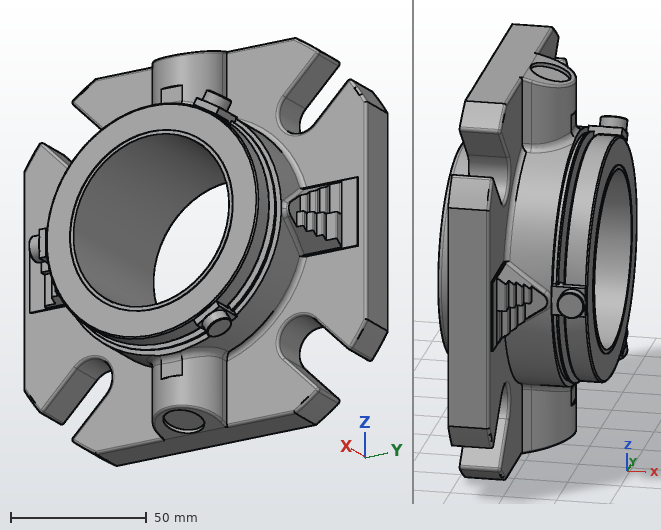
import cadquery as cq
import math


position_tolerance = 0.01

flange_size = 147.3
flange_thickness = 15.5
corner_radius = 85.2
back_edge_fillet = 1.0
slot_width = 18.0
slot_center_radius = 63.3
slot_mouth_fillet = 1.2
raised_face_diameter = 105.0
raised_face_height = 0.6

bore_diameter = 66.7
sleeve_diameter = 69.8
sleeve_band_diameter = 70.3
sleeve_band_length = 0.7
sleeve_end = 46.7
pilot_diameter = 81.5
pilot_front = -10.9
pilot_fillet = 1.5

body_radius = 48.0
body_end = 33.6
body_root_fillet = 1.9
boss_blend_fillet = 3.0
rib_blend_fillet = 1.5
body_stock_allowance = 4.4
neck_diameter = 91.6
neck_end = 35.0
lip_diameter = 93.1
lip_end = 35.8

boss_center = 18.9
boss_radius = 13.8
boss_slope = 15.0
boss_top_fillet = 0.9
boss_relief_position = 32.0
boss_relief_height = 56.9
port_center = 23.3
port_diameter = 15.3
port_recess = 1.5

rib_half_width = 13.4
rib_apex = 35.0
rib_tip_radius = 3.4
rib_step_fillet = 0.5
rib_pad_height = 70.3
rib_pad_end = 16.2
step_heights = [63.5, 59.0, 56.1, 53.3, 50.5]
tall_step_ends = [19.7, 22.0, 24.3, 26.7, rib_apex]
short_step_ends = [17.1, 19.7, 22.0, 24.3, rib_apex]

collar_start = 37.5
collar_end = 46.4
collar_radius = 45.5
collar_chamfer = 0.6
clip_count = 3
clip_width = 11.2
clip_outer = 48.3
clip_thickness = 2.8
clip_end = 46.3
clip_tongue_inner = 43.8
screw_head_diameter = 10.0
screw_head_top = 52.6
screw_head_chamfer = 0.3


def disc(start, end, diameter):
    """Solid cylinder on the X axis between two X positions."""
    return cq.Workplane("YZ", origin=(start, 0, 0)).circle(diameter / 2).extrude(end - start)


def make_flange():
    """Square plate with rounded-off corners and an open slot in each corner."""
    plate = cq.Workplane("YZ").rect(flange_size, flange_size).extrude(flange_thickness)
    plate = plate.intersect(disc(0, flange_thickness, 2 * corner_radius))
    slot_length = 2 * slot_center_radius
    slot = (
        cq.Workplane("YZ")
        .center(slot_center_radius - slot_width / 2 + slot_length / 2, 0)
        .slot2D(slot_length, slot_width)
        .extrude(flange_thickness)
    )
    for angle in (45, 135, 225, 315):
        plate = plate.cut(slot.rotate((0, 0, 0), (1, 0, 0), angle))
    mouths = []
    for edge in plate.edges("|X").vals():
        y, z = edge.Center().y, edge.Center().z
        on_corner_arc = math.isclose(math.hypot(y, z), corner_radius, abs_tol=position_tolerance)
        off_diagonal = abs(abs(y) - abs(z)) / math.sqrt(2)
        if on_corner_arc and math.isclose(off_diagonal, slot_width / 2, abs_tol=position_tolerance):
            mouths.append(edge)
    plate = plate.newObject(mouths).fillet(slot_mouth_fillet)
    return plate.faces(">X").edges().fillet(back_edge_fillet)


def boss_top_height(position):
    """Height of the sloping boss top at an X position."""
    return flange_size / 2 - math.tan(math.radians(boss_slope)) * (position - flange_thickness)


def boss_top_normal():
    """Direction square to the sloping boss top."""
    slope = math.radians(boss_slope)
    return cq.Vector(math.sin(slope), 0, math.cos(slope))


def make_boss():
    """Port boss on +Z: a rounded column with a sloping top."""
    column = (
        cq.Workplane("XY")
        .moveTo(0, -boss_radius)
        .lineTo(boss_center, -boss_radius)
        .threePointArc((boss_center + boss_radius, 0), (boss_center, boss_radius))
        .lineTo(0, boss_radius)
        .close()
        .extrude(flange_size / 2)
    )
    boss_end = boss_center + boss_radius
    side_profile = (
        cq.Workplane("XZ")
        .polyline([
            (flange_thickness / 2, 0),
            (flange_thickness / 2, flange_size / 2),
            (flange_thickness, flange_size / 2),
            (boss_end, boss_top_height(boss_end)),
            (boss_end, boss_relief_height),
            (boss_relief_position, boss_relief_height),
            (boss_relief_position, 0),
        ])
        .close()
        .extrude(boss_radius, both=True)
    )
    boss = column.intersect(side_profile)
    parallel = 0.999
    top = [face for face in boss.faces().vals() if face.normalAt().dot(boss_top_normal()) > parallel]
    rim = [edge for edge in top[0].Edges() if edge.Center().x > flange_thickness + boss_top_fillet]
    return boss.newObject(rim).fillet(boss_top_fillet)


def make_port():
    """Shallow round recess square to the sloping top of the +Z boss."""
    top_plane = cq.Plane(
        origin=(port_center, 0, boss_top_height(port_center)),
        xDir=(0, 1, 0),
        normal=boss_top_normal(),
    )
    return cq.Workplane(top_plane).circle(port_diameter / 2).extrude(-port_recess)


def stair_side(step_ends, z_direction):
    """One half of the rib's staircase, on the chosen side of Z = 0."""
    points = [(flange_thickness / 2, 0), (flange_thickness / 2, step_heights[0])]
    for height, next_height, end in zip(step_heights, step_heights[1:] + [0], step_ends):
        points += [(end, height), (end, next_height)]
    stairs = cq.Workplane("XY").polyline(points).close().extrude(z_direction * flange_size / 2)
    corners = list(zip(step_ends, step_heights))[:-1]
    noses = [
        edge for edge in stairs.edges("|Z").vals()
        if any(math.hypot(edge.Center().x - x, edge.Center().y - y) < rib_step_fillet for x, y in corners)
    ]
    return stairs.newObject(noses).fillet(rib_step_fillet)


def make_rib():
    """Stepped triangular rib on +Y; its short staircase is on the +Z half."""
    root_half_width = rib_half_width * rib_apex / (rib_apex - flange_thickness)
    triangle = (
        cq.Workplane("XZ")
        .polyline([(0, -root_half_width), (rib_apex, 0), (0, root_half_width)])
        .close()
        .extrude(-flange_size / 2)
    )
    triangle = triangle.edges("|Y and >X").fillet(rib_tip_radius)
    stairs = stair_side(short_step_ends, 1).union(stair_side(tall_step_ends, -1))
    return triangle.intersect(stairs)


def make_rib_pad():
    """Thin pad on the flange under the +Y rib."""
    return cq.Workplane("XY").box(
        rib_pad_end, rib_pad_height, 2 * rib_half_width, centered=(False, False, True)
    )


def make_body_root():
    """Concave ring that blends the round body into the back of the flange."""
    ring_radius = body_radius + body_root_fillet
    ring_end = flange_thickness + body_root_fillet
    arc_offset = body_root_fillet * (1 - math.sqrt(0.5))
    return (
        cq.Workplane("XY")
        .moveTo(flange_thickness / 2, body_radius / 2)
        .lineTo(flange_thickness / 2, ring_radius)
        .lineTo(flange_thickness, ring_radius)
        .threePointArc((flange_thickness + arc_offset, body_radius + arc_offset), (ring_end, body_radius))
        .lineTo(ring_end, body_radius / 2)
        .close()
        .revolve(360, (0, 0, 0), (1, 0, 0))
    )


def make_clip():
    """Setting clip with its inner tongue and screw head, pointing along -Y."""
    clip = cq.Workplane("XY").box(
        clip_end - body_end, clip_thickness, clip_width, centered=(False, False, True)
    ).translate((body_end, -clip_outer, 0))
    head_center = sleeve_end - screw_head_diameter / 2
    head = (
        cq.Workplane("XZ", origin=(head_center, -clip_outer, 0))
        .circle(screw_head_diameter / 2)
        .extrude(screw_head_top - clip_outer)
        .faces("<Y")
        .chamfer(screw_head_chamfer)
    )
    tongue = cq.Workplane("XY").box(
        collar_start - lip_end, clip_outer - clip_tongue_inner, clip_width, centered=(False, False, True)
    ).translate((lip_end, -clip_outer, 0))
    return clip.union(tongue).union(head)


def body_seams(shape, along_z):
    """Edges where the features on the Z sides, or else those on the Y sides, meet the round body."""
    seams = []
    for edge in shape.edges().vals():
        middle = edge.positionAt(0.5)
        on_body = math.isclose(math.hypot(middle.y, middle.z), body_radius, abs_tol=position_tolerance)
        along_body = flange_thickness / 2 + position_tolerance < middle.x < body_end
        on_z_side = abs(middle.z) > abs(middle.y)
        if on_body and along_body and on_z_side == along_z:
            seams.append(edge)
    return seams


def half_turn(shape):
    """Copy of a shape on the opposite side of the X axis."""
    return shape.rotate((0, 0, 0), (1, 0, 0), 180)


body_stock_end = body_end + body_stock_allowance
gland = disc(flange_thickness / 2, body_stock_end, 2 * body_radius)
boss = make_boss()
gland = gland.union(boss).union(half_turn(boss))
gland = gland.newObject(body_seams(gland, along_z=True)).fillet(boss_blend_fillet)
rib = make_rib()
gland = gland.union(rib).union(half_turn(rib))
gland = gland.newObject(body_seams(gland, along_z=False)).fillet(rib_blend_fillet)
gland = gland.cut(disc(body_end, body_stock_end, flange_size))
gland = gland.union(make_flange()).union(make_body_root())
rib_pad = make_rib_pad()
gland = gland.union(rib_pad).union(half_turn(rib_pad))
gland = gland.union(disc(-raised_face_height, flange_thickness / 2, raised_face_diameter))
port = make_port()
gland = gland.cut(port).cut(half_turn(port))

gland = gland.union(disc(0, neck_end, neck_diameter))
gland = gland.union(disc(neck_end, lip_end, lip_diameter))
gland = gland.union(disc(0, sleeve_end, sleeve_diameter))
gland = gland.union(disc(collar_start - sleeve_band_length, collar_start, sleeve_band_diameter))
pilot = disc(pilot_front, 0, pilot_diameter).faces("<X").edges().fillet(pilot_fillet)
gland = gland.union(pilot)

collar = disc(collar_start, collar_end, 2 * collar_radius).edges().chamfer(collar_chamfer)
gland = gland.union(collar)
clip = make_clip()
for index in range(clip_count):
    gland = gland.union(clip.rotate((0, 0, 0), (1, 0, 0), index * 360 / clip_count))

result = gland.cut(disc(pilot_front, sleeve_end, bore_diameter))